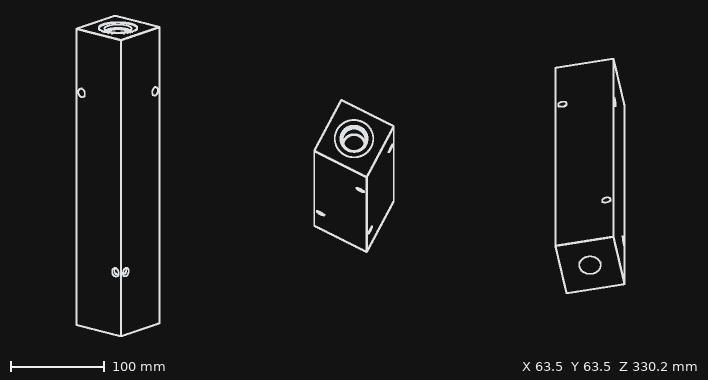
import cadquery as cq

length = 330.2
width = 63.5
edge_chamfer = 0.5

spot_face_diameter = 41.0
spot_face_depth = 1.0
seat_top_diameter = 29.0
seat_bottom_diameter = 27.0
seat_depth = 3.3
pocket_diameter = 24.5
pocket_depth = 29.7

bore_diameter = 22.8

cross_hole_diameter = 9.2
cross_hole_offset = 23.8
cross_hole_height = 95.0


def port_and_bore():
    """Revolved cutter for the port and the bore, with its axis along Z."""
    top = length / 2
    seat_top = top - spot_face_depth
    seat_bottom = seat_top - seat_depth
    pocket_bottom = top - pocket_depth
    lead_in = (seat_bottom_diameter - pocket_diameter) / 2
    pocket_cone = (pocket_diameter - bore_diameter) / 2
    half_profile = [
        (0, top),
        (spot_face_diameter / 2, top),
        (spot_face_diameter / 2, seat_top),
        (seat_top_diameter / 2, seat_top),
        (seat_bottom_diameter / 2, seat_bottom),
        (pocket_diameter / 2, seat_bottom - lead_in),
        (pocket_diameter / 2, pocket_bottom),
        (bore_diameter / 2, pocket_bottom - pocket_cone),
        (bore_diameter / 2, -top),
        (0, -top),
    ]
    return cq.Workplane("XZ").polyline(half_profile).close().revolve(360, (0, 0, 0), (0, 1, 0))


def cross_holes(plane, side):
    """Upper hole on the given side of the plane's local X, lower hole on the opposite side."""
    upper = (side * cross_hole_offset, cross_hole_height)
    lower = (-side * cross_hole_offset, -cross_hole_height)
    return (
        cq.Workplane(plane)
        .pushPoints([upper, lower])
        .circle(cross_hole_diameter / 2)
        .extrude(width, both=True)
    )


block = cq.Workplane("XY").box(width, width, length).edges().chamfer(edge_chamfer)

result = block.cut(port_and_bore()).cut(cross_holes("XZ", -1)).cut(cross_holes("YZ", 1))